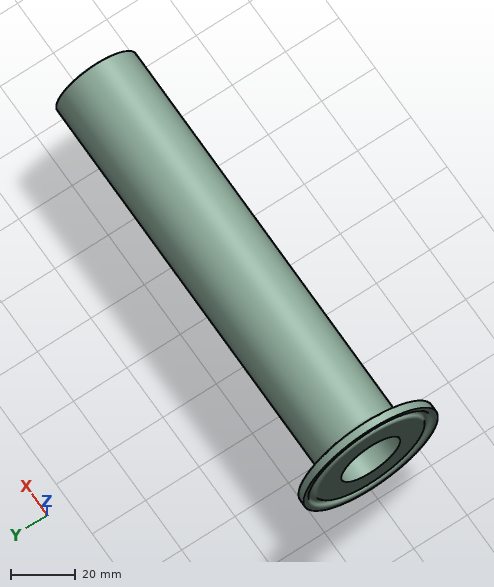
import cadquery as cq
import math

length = 152.4
tube_radius = 30.2 / 2
bore_radius = 22.1 / 2
end_chamfer = 0.08

flange_radius = 50.5 / 2
rim_thickness = 2.9
cone_angle = math.radians(19.5)
neck_fillet = 1.0

groove_radius = 21.8
groove_bottom_radius = 1.2
groove_lip_radius = 1.0
groove_wall_angle = math.radians(70)


def revolve_around_x(profile):
    return profile.close().revolve(360, (0, 0, 0), (1, 0, 0))


def make_body():
    """Solid tube with the conical-backed flange, filleted at the neck."""
    neck_x = rim_thickness + (flange_radius - tube_radius) * math.tan(cone_angle)
    middle_angle = (math.pi / 2 - cone_angle) / 2
    tangent_length = neck_fillet * math.tan(middle_angle)
    center_x = neck_x + tangent_length
    center_r = tube_radius + neck_fillet
    return revolve_around_x(
        cq.Workplane("XY")
        .moveTo(0, 0)
        .lineTo(0, flange_radius)
        .lineTo(rim_thickness, flange_radius)
        .lineTo(
            neck_x - tangent_length * math.sin(cone_angle),
            tube_radius + tangent_length * math.cos(cone_angle),
        )
        .threePointArc(
            (
                center_x - neck_fillet * math.sin(middle_angle),
                center_r - neck_fillet * math.cos(middle_angle),
            ),
            (center_x, tube_radius),
        )
        .lineTo(length - end_chamfer, tube_radius)
        .lineTo(length, tube_radius - end_chamfer)
        .lineTo(length, 0)
    )


def make_groove():
    """Ring of material removed for the gasket: a round bottom with rounded lips."""
    sine = math.sin(groove_wall_angle)
    half_sine = math.sin(groove_wall_angle / 2)
    half_cosine = math.cos(groove_wall_angle / 2)
    depth = (groove_bottom_radius + groove_lip_radius) * (1 - math.cos(groove_wall_angle))
    half_width = (groove_bottom_radius + groove_lip_radius) * sine
    wall_offset = groove_bottom_radius * sine
    wall_x = groove_lip_radius * (1 - math.cos(groove_wall_angle))
    lip_offset = half_width - groove_lip_radius * half_sine
    lip_x = groove_lip_radius * (1 - half_cosine)
    return revolve_around_x(
        cq.Workplane("XY")
        .moveTo(0, groove_radius - half_width)
        .threePointArc((lip_x, groove_radius - lip_offset), (wall_x, groove_radius - wall_offset))
        .threePointArc((depth, groove_radius), (wall_x, groove_radius + wall_offset))
        .threePointArc((lip_x, groove_radius + lip_offset), (0, groove_radius + half_width))
    )


def make_bore():
    return cq.Workplane("YZ").circle(bore_radius).extrude(length)


result = make_body().cut(make_groove()).cut(make_bore())